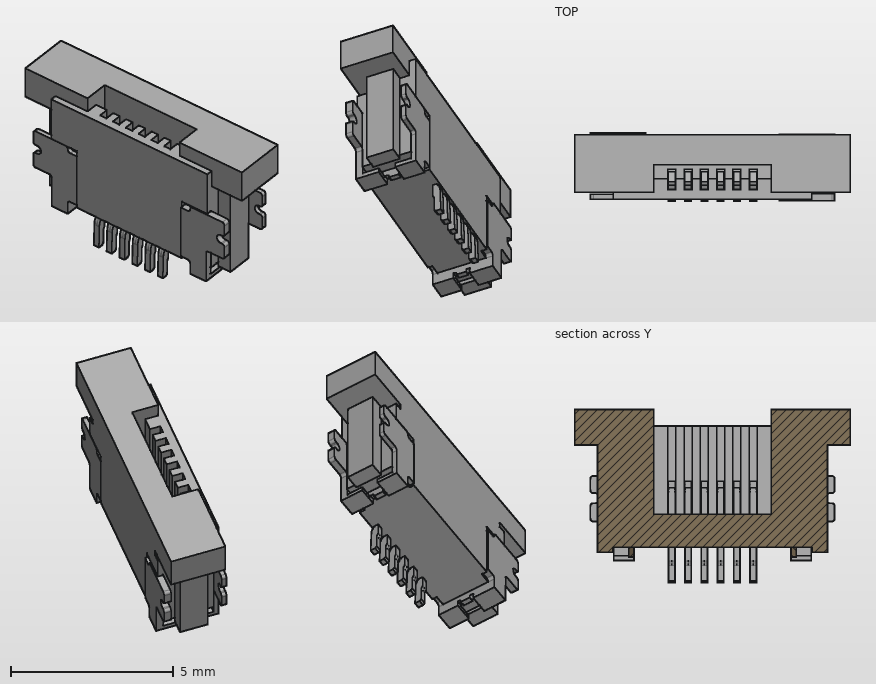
import cadquery as cq


head_width = 8.5
head_depth = 1.785
head_height = 1.105
mouth_width = 3.6
mouth_rear_y = -0.935

housing_width = 6.12
housing_front_y = -2.0
housing_top_z = -0.51
housing_bottom_z = -4.25
lip_rear_y = -1.36
neck_inset = 0.255
neck_height = 0.195
neck_depth = 0.55

leg_span = 7.09
leg_front_y = -1.46
leg_rear_y = -neck_depth
leg_bottom_z = -4.4

contact_count = 6
contact_pitch = 0.5
contact_width = 0.2
slot_width = 0.25
slot_rear_y = -1.07
slot_front_y = -1.7
slot_bottom_z = -3.74
mouth_floor_z = -3.23
beam_rear_y = -1.14
beam_crest_y = -1.46
beam_step_y = -1.56
beam_front_y = -1.68
beam_crest_z = -2.21
beam_ramp_drop = 0.21
beam_step_drop = 0.255
beam_slope_drop = 0.07
tail_rear_y = -1.77
tail_waist_y = -1.82
tail_entry_y = -1.91
tail_front_y = -2.02
toe_front_y = -2.05
tail_bottom_z = -5.34
tail_bend_z = -4.54
waist_start_z = -4.66
waist_end_z = -4.8
heel_chamfer = 0.06

clip_rear_y = 0.05
clip_front_y = housing_front_y
rear_plate_thickness = 0.23
front_plate_thickness = 0.16
clip_inner_x = 2.06
clip_tab_inner_x = 2.41
clip_tab_outer_x = 3.04
clip_outer_x = 3.765
clip_top_z = -2.05
tongue_top_z = -2.25
tongue_bottom_z = -4.15
ear_bottom_z = -3.46
clip_bottom_z = -4.66
clip_corner_radius = 0.09
ear_notch_z = -2.74
ear_notch_end_x = 3.47
ear_notch_width = 0.31
floor_thickness = 0.15
floor_gap_rear_y = -0.73
floor_gap_front_y = -1.29
strap_thickness = 0.17
strap_bottom_z = -4.45
lobe_rear_y = -0.86
lobe_front_y = -1.19
lobe_bottom_z = -4.56
lobe_root_radius = 0.05
pick_margin = 0.04
clip_turn_y = -0.995

rear_plate_inner_y = clip_rear_y - rear_plate_thickness
front_plate_inner_y = clip_front_y + front_plate_thickness


def box(x_range, y_range, z_range):
    """Axis-aligned block between pairs of coordinates, each given low to high."""
    sizes = [high - low for low, high in (x_range, y_range, z_range)]
    corner = (x_range[0], y_range[0], z_range[0])
    return cq.Workplane("XY").box(*sizes, centered=False).translate(corner)


def centred_box(width, y_range, z_range):
    """Block centred on X = 0."""
    return box((-width / 2, width / 2), y_range, z_range)


def half_turn(shape):
    """Turn a shape to the opposite side of the connector."""
    return shape.rotate((0, clip_turn_y, 0), (0, clip_turn_y, 1), 180)


def contact_positions():
    """X of the middle of each contact."""
    return [(i - (contact_count - 1) / 2) * contact_pitch for i in range(contact_count)]


def head():
    """Top bar with an opening in its front for the cable."""
    bar = centred_box(head_width, (-head_depth, 0), (-head_height, 0))
    mouth = centred_box(mouth_width, (-head_depth, mouth_rear_y), (-head_height, 0))
    return bar.cut(mouth)


def legs():
    """Both side legs, made as one block that passes through the housing."""
    return centred_box(leg_span, (leg_front_y, leg_rear_y), (leg_bottom_z, -head_height)).cut(
        centred_box(housing_width, (leg_front_y, leg_rear_y), (leg_bottom_z, housing_bottom_z))
    )


def block():
    """Main block with its front wall, the lip behind the wall and a narrower neck at the rear."""
    main = centred_box(housing_width, (housing_front_y, 0), (housing_bottom_z, -head_height))
    wall = centred_box(housing_width, (housing_front_y, -head_depth), (-head_height, housing_top_z))
    lip = centred_box(mouth_width, (housing_front_y, lip_rear_y), (-head_height, housing_top_z))
    body = main.union(wall).union(lip)
    neck_z = (-head_height - neck_height, -head_height)
    neck_inner_x = housing_width / 2 - neck_inset
    for x_range in ((-housing_width / 2, -neck_inner_x), (neck_inner_x, housing_width / 2)):
        body = body.cut(box(x_range, (-neck_depth, 0), neck_z))
    return body


def cable_mouth():
    """Space for the cable, with a slot for each contact."""
    space = centred_box(mouth_width, (lip_rear_y, mouth_rear_y), (mouth_floor_z, 0))
    for x in contact_positions():
        slot = centred_box(slot_width, (slot_front_y, slot_rear_y), (slot_bottom_z, housing_top_z))
        space = space.union(slot.translate((x, 0, 0)))
    return space


def contact_beam():
    """Part of a contact in its slot: a ramp up to a rounded crest, then a step and a slope in front."""
    crest_radius = beam_crest_y - beam_step_y
    step_z = beam_crest_z - beam_step_drop
    return (
        cq.Workplane("YZ")
        .moveTo(beam_rear_y, slot_bottom_z)
        .lineTo(beam_rear_y, beam_crest_z - beam_ramp_drop)
        .lineTo(beam_crest_y, beam_crest_z)
        .radiusArc((beam_step_y, beam_crest_z - crest_radius), -crest_radius)
        .lineTo(beam_step_y, step_z)
        .lineTo(beam_front_y, step_z - beam_slope_drop)
        .lineTo(beam_front_y, slot_bottom_z)
        .close()
        .extrude(contact_width / 2, both=True)
    )


def contact_tail():
    """Solder tail of a contact, bent forward below the housing and sloping out to its toe."""
    return (
        cq.Workplane("YZ")
        .moveTo(tail_rear_y, housing_bottom_z)
        .lineTo(tail_rear_y, waist_start_z)
        .spline(
            [(tail_waist_y, waist_end_z)],
            tangents=[(0, -1), (0, -1)],
            includeCurrent=True,
        )
        .lineTo(tail_waist_y, tail_bottom_z + heel_chamfer)
        .lineTo(tail_waist_y - heel_chamfer, tail_bottom_z)
        .lineTo(toe_front_y, tail_bottom_z)
        .lineTo(tail_front_y, tail_bend_z)
        .spline(
            [(tail_entry_y, housing_bottom_z)],
            tangents=[(0, 1), (1, 1)],
            includeCurrent=True,
        )
        .close()
        .extrude(contact_width / 2, both=True)
    )


def clip_recesses():
    """Recesses in the front and rear of the block for the plates of the first clip."""
    x_range = (-housing_width / 2, -clip_inner_x)
    z_range = (housing_bottom_z, clip_top_z)
    front = box(x_range, (housing_front_y, front_plate_inner_y), z_range)
    rear = box(x_range, (rear_plate_inner_y, clip_rear_y), z_range)
    return front.union(rear)


def make_housing():
    """Housing with its head, legs and moulded-in contacts."""
    body = block().union(head()).union(legs())
    body = body.cut(cable_mouth())
    recesses = clip_recesses()
    body = body.cut(recesses).cut(half_turn(recesses))
    for x in contact_positions():
        body = body.union(contact_beam().translate((x, 0, 0)))
        body = body.union(contact_tail().translate((x, 0, 0)))
    return body


def corner_selector(x_range, front_y, rear_y):
    """Selector for the corners of a clip plate above its tab whose X lies in a range."""
    low = (x_range[0] - pick_margin, front_y - pick_margin, tongue_bottom_z - pick_margin)
    high = (x_range[1] + pick_margin, rear_y + pick_margin, clip_top_z + pick_margin)
    return cq.selectors.BoxSelector(low, high)


def clip_plate(front_y, rear_y):
    """Upright plate with a notched ear outside, a tongue inside and a tab at the bottom."""
    outline = [
        (-clip_inner_x, tongue_bottom_z),
        (-clip_inner_x, tongue_top_z),
        (-clip_tab_inner_x, tongue_top_z),
        (-clip_tab_inner_x, clip_top_z),
        (-clip_outer_x, clip_top_z),
        (-clip_outer_x, ear_bottom_z),
        (-clip_tab_outer_x, ear_bottom_z),
        (-clip_tab_outer_x, clip_bottom_z),
        (-clip_tab_inner_x, clip_bottom_z),
        (-clip_tab_inner_x, tongue_bottom_z),
    ]
    thickness = rear_y - front_y
    notch_length = 2 * (clip_outer_x - ear_notch_end_x)
    plate = cq.Workplane("XZ", origin=(0, rear_y, 0)).polyline(outline).close().extrude(thickness)
    notch = (
        cq.Workplane("XZ", origin=(0, rear_y, 0))
        .center(-clip_outer_x, ear_notch_z)
        .slot2D(notch_length, ear_notch_width)
        .extrude(thickness)
    )
    plate = plate.cut(notch)
    for x_range in ((-clip_outer_x, -clip_outer_x), (-clip_tab_outer_x, -clip_tab_inner_x)):
        corners = plate.edges("|Y").edges(corner_selector(x_range, front_y, rear_y))
        plate = corners.fillet(clip_corner_radius)
    return plate


def clip_strap():
    """Strap that joins the two plates, with a lobe hanging from its middle."""
    floor_top_z = clip_bottom_z + floor_thickness
    return (
        cq.Workplane("YZ", origin=(-clip_tab_inner_x, 0, 0))
        .moveTo(rear_plate_inner_y, housing_bottom_z)
        .lineTo(rear_plate_inner_y, floor_top_z)
        .lineTo(floor_gap_rear_y, floor_top_z)
        .lineTo(floor_gap_rear_y, strap_bottom_z)
        .lineTo(lobe_rear_y + lobe_root_radius, strap_bottom_z)
        .radiusArc((lobe_rear_y, strap_bottom_z - lobe_root_radius), -lobe_root_radius)
        .lineTo(lobe_rear_y, lobe_bottom_z)
        .lineTo(lobe_front_y, lobe_bottom_z)
        .lineTo(lobe_front_y, strap_bottom_z - lobe_root_radius)
        .radiusArc((lobe_front_y - lobe_root_radius, strap_bottom_z), -lobe_root_radius)
        .lineTo(floor_gap_front_y, strap_bottom_z)
        .lineTo(floor_gap_front_y, floor_top_z)
        .lineTo(front_plate_inner_y, floor_top_z)
        .lineTo(front_plate_inner_y, housing_bottom_z)
        .close()
        .extrude(-strap_thickness)
    )


def make_clip():
    """Hold-down clip on the -X side: two plates, two floor pieces and a strap."""
    floor_x = (-clip_tab_outer_x, -clip_tab_inner_x)
    floor_z = (clip_bottom_z, clip_bottom_z + floor_thickness)
    return (
        clip_plate(clip_front_y, front_plate_inner_y)
        .union(clip_plate(rear_plate_inner_y, clip_rear_y))
        .union(box(floor_x, (clip_front_y, floor_gap_front_y), floor_z))
        .union(box(floor_x, (floor_gap_rear_y, clip_rear_y), floor_z))
        .union(clip_strap())
    )


housing = make_housing()
clip = make_clip()
clips = [clip, half_turn(clip)]

result = cq.Compound.makeCompound([housing.solids().val(), *[each.solids().val() for each in clips]])